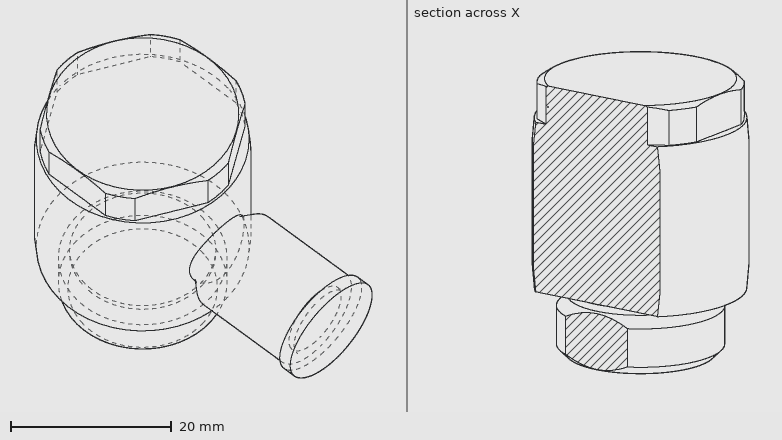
import cadquery as cq
import math

overall_length = 45.6

total_height = 35.5
body_bottom = 8.5
body_top = 30.5
body_taper_height = 3.0
body_taper_angle = 5.0
port_height = (body_bottom + body_top) / 2

body_radius = 13.5
hex_sides = 6
hex_across_flats = 24.0
hex_corner_radius = 12.9
hex_top_radius = 11.95
hex_chamfer_height = 0.5

stem_radius = 10.5
stem_chamfer = 1.2
stem_shoulder = 6.15
stem_neck_radius = 9.1
stem_neck_fillet = 0.3

port_end = overall_length - body_radius
neck_radius = 5.0
neck_end = 13.4
neck_fillet = 1.0
cone_angle = 41.0
sleeve_radius = 6.8
sleeve_end = 29.15
sleeve_shoulder_fillet = 0.85
sleeve_end_fillet = 0.2
ring_radius = 4.8
ring_fillet = 0.15

collar_start = 30.1
collar_half_width = 7.52
collar_half_height = 6.5
collar_face_radius = 4.4
collar_face_taper = 0.25


def revolve_around_z(points):
    return cq.Workplane("XZ").polyline(points).close().revolve(360, (0, 0, 0), (0, 1, 0))


def revolve_around_port(points):
    profile = cq.Workplane("XZ", origin=(0, 0, port_height)).polyline(points).close()
    return profile.revolve(360, (0, 0, 0), (1, 0, 0))


def fillet_port_edge(solid, distance, radius, fillet_radius):
    """Round the circular edge of the given radius at a distance along the port."""
    def is_wanted(edge):
        return math.isclose(edge.Center().x, distance) and math.isclose(edge.radius(), radius)

    return solid.edges("%CIRCLE").filter(is_wanted).fillet(fillet_radius)


def make_body():
    end_radius = body_radius - body_taper_height * math.tan(math.radians(body_taper_angle))
    return revolve_around_z([
        (0, body_bottom),
        (end_radius, body_bottom),
        (body_radius, body_bottom + body_taper_height),
        (body_radius, body_top - body_taper_height),
        (end_radius, body_top),
        (0, body_top),
    ])


def make_hex_head():
    across_corners = hex_across_flats / math.cos(math.pi / hex_sides)
    head = (
        cq.Workplane("XY", origin=(0, 0, body_top))
        .polygon(hex_sides, across_corners)
        .extrude(total_height - body_top)
    )
    blank = revolve_around_z([
        (0, body_top),
        (hex_corner_radius, body_top),
        (hex_corner_radius, total_height - hex_chamfer_height),
        (hex_top_radius, total_height),
        (0, total_height),
    ])
    return head.intersect(blank)


def make_stem():
    undercut_start = stem_shoulder + stem_radius - stem_neck_radius
    profile = (
        cq.Workplane("XZ")
        .lineTo(stem_radius - stem_chamfer, 0)
        .lineTo(stem_radius, stem_chamfer)
        .lineTo(stem_radius, stem_shoulder)
        .lineTo(stem_neck_radius, undercut_start)
        .lineTo(stem_neck_radius, body_bottom - stem_neck_fillet)
        .radiusArc((stem_neck_radius + stem_neck_fillet, body_bottom), stem_neck_fillet)
        .lineTo(0, body_bottom)
        .close()
    )
    return profile.revolve(360, (0, 0, 0), (0, 1, 0))


def make_port():
    sleeve_start = neck_end + (sleeve_radius - neck_radius) / math.tan(math.radians(cone_angle))
    port = revolve_around_port([
        (0, 0),
        (0, neck_radius),
        (neck_end, neck_radius),
        (sleeve_start, sleeve_radius),
        (sleeve_end, sleeve_radius),
        (sleeve_end, ring_radius),
        (collar_start, ring_radius),
        (collar_start, 0),
    ])
    port = fillet_port_edge(port, neck_end, neck_radius, neck_fillet)
    port = fillet_port_edge(port, sleeve_start, sleeve_radius, sleeve_shoulder_fillet)
    return fillet_port_edge(port, sleeve_end, sleeve_radius, sleeve_end_fillet)


def make_collar():
    oval = (
        cq.Workplane("YZ", origin=(collar_start, 0, port_height))
        .ellipse(collar_half_width, collar_half_height)
        .extrude(port_end - collar_start)
    )
    envelope = revolve_around_port([
        (collar_start, 0),
        (collar_start, collar_half_width),
        (port_end - collar_face_taper, collar_half_width),
        (port_end, collar_face_radius),
        (port_end, 0),
    ])
    return oval.intersect(envelope)


result = (
    make_body()
    .union(make_hex_head())
    .union(make_stem())
    .union(make_port())
    .union(make_collar())
)
result = fillet_port_edge(result, collar_start, ring_radius, ring_fillet)